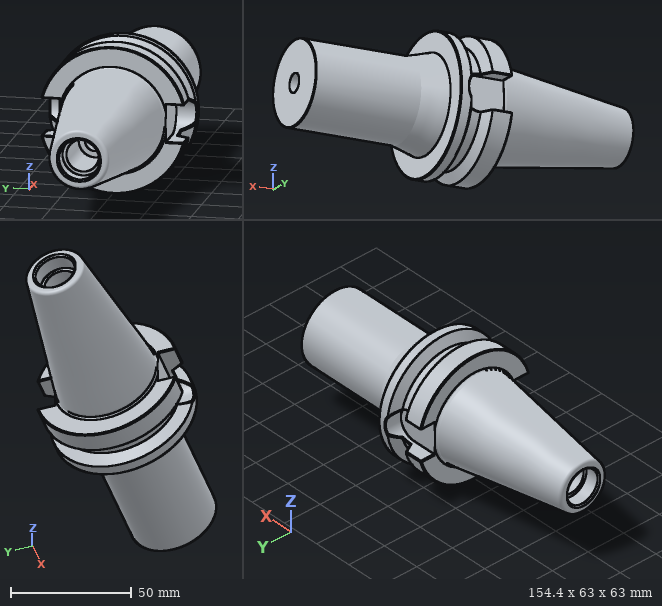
import cadquery as cq
import math

TOTAL_LENGTH = 154.4
GAUGE_X = 65.44
GAUGE_DIAMETER = 44.45
TAPER_RATIO = 7 / 24
SMALL_END_DIAMETER = GAUGE_DIAMETER - GAUGE_X * TAPER_RATIO
SMALL_END_FILLET = 1.6

FLANGE_DIAMETER = 63.0
FLANGE_FRONT_X = GAUGE_X + 2.0
FLANGE_BACK_X = GAUGE_X + 27.0
FLANGE_EDGE_CHAMFER = 0.4
COLLAR_FILLET = 0.9
GROOVE_DIAMETER = 53.0
GROOVE_FLOOR_WIDTH = 4.6
GROOVE_FLANK_ANGLE = 30.0
GROOVE_CENTER_X = GAUGE_X + 16.6
GROOVE_FLOOR_START_X = GROOVE_CENTER_X - GROOVE_FLOOR_WIDTH / 2
GROOVE_FLOOR_END_X = GROOVE_CENTER_X + GROOVE_FLOOR_WIDTH / 2
GROOVE_DEPTH = (FLANGE_DIAMETER - GROOVE_DIAMETER) / 2
FLANK_LENGTH_X = GROOVE_DEPTH * math.tan(math.radians(GROOVE_FLANK_ANGLE))

SLOT_WIDTH = 16.1
SLOT_RADIUS = SLOT_WIDTH / 2
SLOT_FLOOR_Y = 22.6
SLOT_END_X = GAUGE_X + 23.0
SLOT_AXIS_X = SLOT_END_X - SLOT_RADIUS
SLOT_CHAMFER = 0.4

NOSE_DIAMETER = 38.02
NOSE_END_CHAMFER = 0.3
NECK_ANGLE = 15.0

ENTRY_DIAMETER = 17.15
ENTRY_CHAMFER = 0.8
ENTRY_DEPTH = 7.7
TAP_DRILL_DIAMETER = 13.84
TAP_DRILL_DEPTH = 32.0
THROUGH_DIAMETER = 8.46

TOLERANCE = 0.01
SHORTEST_FLANK_RIM = 2.0


def revolve_about_x(profile):
    """Turn a closed (x, radius) outline into a solid of revolution about X."""
    return cq.Workplane("XY").polyline(profile).close().revolve(360, (0, 0, 0), (1, 0, 0))


def is_collar_corner(edge):
    """True for the inner corner where the gauge collar meets the flange front face."""
    at_front = abs(edge.Center().x - FLANGE_FRONT_X) < TOLERANCE
    return at_front and abs(edge.radius() - GAUGE_DIAMETER / 2) < TOLERANCE


def make_body():
    """Taper, grooved flange, neck and nose as one turned solid."""
    gauge_radius = GAUGE_DIAMETER / 2
    flange_radius = FLANGE_DIAMETER / 2
    groove_radius = GROOVE_DIAMETER / 2
    nose_radius = NOSE_DIAMETER / 2
    neck_end_x = FLANGE_BACK_X + (gauge_radius - nose_radius) / math.tan(math.radians(NECK_ANGLE))
    body = revolve_about_x([
        (0, 0),
        (0, SMALL_END_DIAMETER / 2),
        (GAUGE_X, gauge_radius),
        (FLANGE_FRONT_X, gauge_radius),
        (FLANGE_FRONT_X, flange_radius - FLANGE_EDGE_CHAMFER),
        (FLANGE_FRONT_X + FLANGE_EDGE_CHAMFER, flange_radius),
        (GROOVE_FLOOR_START_X - FLANK_LENGTH_X, flange_radius),
        (GROOVE_FLOOR_START_X, groove_radius),
        (GROOVE_FLOOR_END_X, groove_radius),
        (GROOVE_FLOOR_END_X + FLANK_LENGTH_X, flange_radius),
        (FLANGE_BACK_X - FLANGE_EDGE_CHAMFER, flange_radius),
        (FLANGE_BACK_X, flange_radius - FLANGE_EDGE_CHAMFER),
        (FLANGE_BACK_X, gauge_radius),
        (neck_end_x, nose_radius),
        (TOTAL_LENGTH - NOSE_END_CHAMFER, nose_radius),
        (TOTAL_LENGTH, nose_radius - NOSE_END_CHAMFER),
        (TOTAL_LENGTH, 0),
    ])
    body = body.faces("<X").edges().fillet(SMALL_END_FILLET)
    collar_corner = [edge for edge in body.edges("%CIRCLE").vals() if is_collar_corner(edge)]
    return body.newObject(collar_corner).fillet(COLLAR_FILLET)


def make_bore():
    """Stepped bore, widest at the small end of the taper."""
    entry_radius = ENTRY_DIAMETER / 2
    tap_drill_radius = TAP_DRILL_DIAMETER / 2
    through_radius = THROUGH_DIAMETER / 2
    return revolve_about_x([
        (0, 0),
        (0, entry_radius + ENTRY_CHAMFER),
        (ENTRY_CHAMFER, entry_radius),
        (ENTRY_DEPTH, entry_radius),
        (ENTRY_DEPTH, tap_drill_radius),
        (TAP_DRILL_DEPTH, tap_drill_radius),
        (TAP_DRILL_DEPTH, through_radius),
        (TOTAL_LENGTH, through_radius),
        (TOTAL_LENGTH, 0),
    ])


def make_slot(side):
    """Round-ended drive slot open towards the taper; side is -1 or +1 along Y."""
    outline = (
        cq.Workplane("XZ", origin=(0, side * SLOT_FLOOR_Y, 0))
        .moveTo(GAUGE_X, -SLOT_RADIUS)
        .lineTo(SLOT_AXIS_X, -SLOT_RADIUS)
        .threePointArc((SLOT_END_X, 0), (SLOT_AXIS_X, SLOT_RADIUS))
        .lineTo(GAUGE_X, SLOT_RADIUS)
        .close()
    )
    return outline.extrude(-side * FLANGE_DIAMETER / 2)


def on_slot_wall(point):
    """True where a point lies on the straight or round wall of a drive slot."""
    past_axis = max(point.x - SLOT_AXIS_X, 0)
    return abs(math.hypot(past_axis, point.z) - SLOT_RADIUS) < TOLERANCE


def is_slot_rim(edge):
    """True for edges along the top of a slot wall and up its front corners."""
    middle = edge.positionAt(0.5)
    on_wall = all(on_slot_wall(point) for point in (edge.startPoint(), middle, edge.endPoint()))
    above_floor = abs(middle.y) > SLOT_FLOOR_Y + SLOT_CHAMFER
    runs_up_wall = abs(edge.tangentAt(0.5).y) > 1 - TOLERANCE
    at_front = abs(middle.x - FLANGE_FRONT_X) < TOLERANCE
    return on_wall and above_floor and (at_front or not runs_up_wall)


def is_on_rear_flank(edge):
    """True for full-length edges on the rear flank of the gripper groove."""
    distance_up_flank = edge.positionAt(0.5).x - GROOVE_FLOOR_END_X
    return edge.Length() > SHORTEST_FLANK_RIM and 0 < distance_up_flank < FLANK_LENGTH_X


def chamfer_slot_rims(body):
    """Chamfer the slot rims; those on the rear flank need a second pass of their own."""
    rims = [edge for edge in body.edges().vals() if is_slot_rim(edge) and not is_on_rear_flank(edge)]
    body = body.newObject(rims).chamfer(SLOT_CHAMFER)
    flank_rims = [edge for edge in body.edges().vals() if is_slot_rim(edge) and is_on_rear_flank(edge)]
    return body.newObject(flank_rims).chamfer(SLOT_CHAMFER)


holder = make_body().cut(make_bore())
for slot_side in (-1, 1):
    holder = holder.cut(make_slot(slot_side))

result = chamfer_slot_rims(holder)